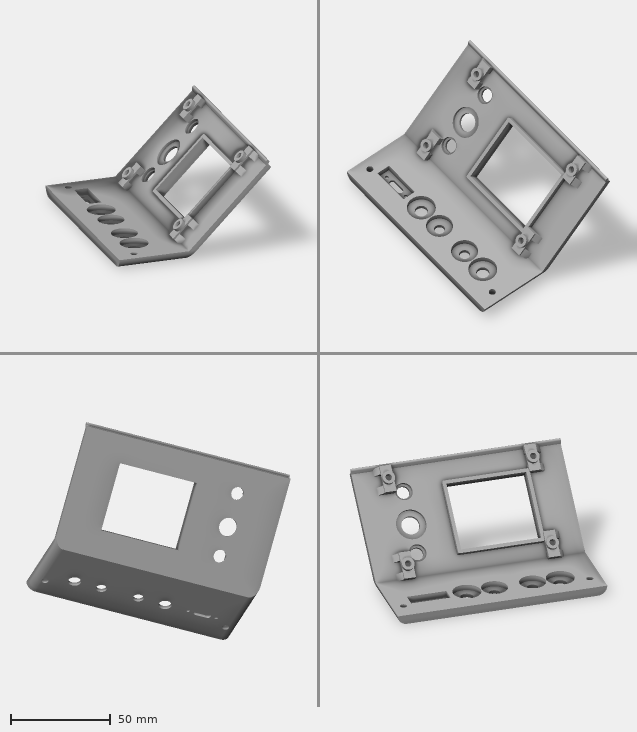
import cadquery as cq
import math

WIDTH = 110.0
DEPTH = 80.8
BASE_THICKNESS = 5.0
PANEL_THICKNESS = 3.0
EDGE_RADIUS = BASE_THICKNESS
OVERLAP = 1.1

DIAGONAL = math.sqrt(0.5)
BASE_BOTTOM_DEPTH = 36.3
PANEL_TIP_HEIGHT = DEPTH - BASE_BOTTOM_DEPTH
PANEL_OFFSET = PANEL_THICKNESS * DIAGONAL
INNER_TIP_Y = DEPTH - PANEL_OFFSET
INNER_TIP_Z = PANEL_TIP_HEIGHT + PANEL_OFFSET

BEAD_RADIUS = 0.9
BEAD_Y = 78.9
BEAD_Z = 47.6
LIP_FRONT_Y = BEAD_Y - BEAD_RADIUS
LIP_THICKNESS = 1.2

MOUNT_SPACING_X = 75.9
MOUNT_SPACING_SLOPE = 46.0
LEG_LENGTH = 4.0
LEG_GAP = 6.0
LEG_HEIGHT = 3.0
BRIDGE_WIDTH = 6.0
BRIDGE_THICKNESS = 1.0
BRIDGE_LENGTH = 2 * LEG_LENGTH + LEG_GAP
COLLAR_DIAMETER = 6.5
COLLAR_HEIGHT = 2.0
MOUNT_HOLE_DIAMETER = 3.3
UPPER_MOUNT_DROP = BRIDGE_LENGTH / 2
LOWER_MOUNT_DROP = UPPER_MOUNT_DROP + MOUNT_SPACING_SLOPE

WINDOW_X = 12.4
WINDOW_DROP = 31.4
WINDOW_WIDTH = 42.0
WINDOW_LENGTH = 35.0
FRAME_WALL = 1.9
FRAME_HEIGHT = 3.0
FRAME_CORNER_RADIUS = 1.0

CONTROL_X = -30.2
KNOB_DROP = WINDOW_DROP
KNOB_RECESS_DIAMETER = 15.6
KNOB_HOLE_DIAMETER = 9.5
BUTTON_DROPS = (13.9, 46.5)
BUTTON_RECESS_DIAMETER = 9.0
BUTTON_HOLE_DIAMETER = 6.6
CONTROL_RECESS_DEPTH = 1.5

SOCKET_ROW_X = 10.5
SOCKET_ROW_Y = 15.0
SOCKET_DEPTH = 3.0
INNER_SOCKET_OFFSET = 10.0
INNER_SOCKET_DIAMETER = 13.5
INNER_SOCKET_HOLE = 5.5
OUTER_SOCKET_OFFSET = 24.5
OUTER_SOCKET_DIAMETER = 14.5
OUTER_SOCKET_HOLE = 6.6

SWITCH_X = -34.1
SWITCH_WIDTH = 20.7
SWITCH_LENGTH = 7.3
SWITCH_DEPTH = 3.5
SWITCH_SLOT_LENGTH = 9.4
SWITCH_SLOT_WIDTH = 3.2
SWITCH_SCREW_SPACING = 15.2
SWITCH_SCREW_DIAMETER = 1.8

FIXING_SPACING = 97.8
FIXING_Y = 9.9
FIXING_DIAMETER = 3.5


def side_extrusion(points):
    """Extrude an outline given in Y and Z over the full width."""
    return cq.Workplane("YZ").polyline(points).close().extrude(WIDTH / 2, both=True)


def panel_plane(x, drop, height=0.0):
    """Workplane parallel to the inner panel face, its local Y pointing up the slope."""
    tip = cq.Plane((0, INNER_TIP_Y, INNER_TIP_Z), (1, 0, 0), (0, -1, 1))
    return cq.Workplane(tip).workplane(offset=height).center(x, -drop)


def base_top(x, y):
    return cq.Workplane("XY", origin=(x, y, BASE_THICKNESS))


def stepped_hole(plane, recess_diameter, recess_depth, hole_diameter, thickness):
    """Cutter for a round recess with a smaller hole on through the wall."""
    recess = plane.circle(recess_diameter / 2).extrude(-recess_depth)
    hole = plane.circle(hole_diameter / 2).extrude(-(thickness + OVERLAP))
    return recess.union(hole)


def make_shell():
    """Base and leaning panel in one piece, with the lower side edges of the base rounded."""
    inner_foot_y = BASE_BOTTOM_DEPTH + BASE_THICKNESS - PANEL_THICKNESS / DIAGONAL
    shell = side_extrusion([
        (0, 0),
        (BASE_BOTTOM_DEPTH, 0),
        (DEPTH, PANEL_TIP_HEIGHT),
        (INNER_TIP_Y, INNER_TIP_Z),
        (inner_foot_y, BASE_THICKNESS),
        (0, BASE_THICKNESS),
    ])
    half_flat = WIDTH / 2 - EDGE_RADIUS
    arc_inset = EDGE_RADIUS * (1 - DIAGONAL)
    rounded_section = (
        cq.Workplane("XZ")
        .moveTo(-half_flat, 0)
        .lineTo(half_flat, 0)
        .threePointArc((WIDTH / 2 - arc_inset, arc_inset), (WIDTH / 2, EDGE_RADIUS))
        .lineTo(WIDTH / 2, INNER_TIP_Z)
        .lineTo(-WIDTH / 2, INNER_TIP_Z)
        .lineTo(-WIDTH / 2, EDGE_RADIUS)
        .threePointArc((arc_inset - WIDTH / 2, arc_inset), (-half_flat, 0))
        .close()
        .extrude(-DEPTH)
    )
    return shell.intersect(rounded_section)


def make_lip():
    rear_y = LIP_FRONT_Y + LIP_THICKNESS
    root_z = INNER_TIP_Z - OVERLAP
    strip = side_extrusion([
        (LIP_FRONT_Y, root_z),
        (rear_y, root_z),
        (rear_y, BEAD_Z),
        (LIP_FRONT_Y, BEAD_Z),
    ])
    bead = (
        cq.Workplane("YZ")
        .center(BEAD_Y, BEAD_Z)
        .circle(BEAD_RADIUS)
        .extrude(WIDTH / 2, both=True)
    )
    return strip.union(bead)


def make_mount(side, drop):
    """Bridge with a collar on two legs whose outer flanks spread at 45 degrees.

    side is -1 for a left mount and 1 for a right mount.
    """
    x = side * MOUNT_SPACING_X / 2
    half_width = BRIDGE_WIDTH / 2
    bridge_top = LEG_HEIGHT + BRIDGE_THICKNESS
    section_plane = cq.Plane((x, INNER_TIP_Y, INNER_TIP_Z), (1, 0, 0), (0, -1, -1))
    body = (
        cq.Workplane(section_plane)
        .workplane(offset=drop - BRIDGE_LENGTH / 2)
        .polyline([
            (-side * half_width, 0),
            (side * (half_width + LEG_HEIGHT), 0),
            (side * half_width, LEG_HEIGHT),
            (side * half_width, bridge_top),
            (-side * half_width, bridge_top),
        ])
        .close()
        .extrude(BRIDGE_LENGTH)
    )
    gap = panel_plane(x, drop).rect(2 * (half_width + LEG_HEIGHT), LEG_GAP).extrude(LEG_HEIGHT)
    collar = panel_plane(x, drop, bridge_top).circle(COLLAR_DIAMETER / 2).extrude(COLLAR_HEIGHT)
    hole = (
        panel_plane(x, drop, LEG_HEIGHT)
        .circle(MOUNT_HOLE_DIAMETER / 2)
        .extrude(BRIDGE_THICKNESS + COLLAR_HEIGHT)
    )
    return body.cut(gap).union(collar).cut(hole)


def make_frame():
    return (
        panel_plane(WINDOW_X, WINDOW_DROP)
        .sketch()
        .rect(WINDOW_WIDTH + 2 * FRAME_WALL, WINDOW_LENGTH + 2 * FRAME_WALL)
        .vertices()
        .fillet(FRAME_CORNER_RADIUS)
        .finalize()
        .extrude(FRAME_HEIGHT)
    )


def window_cutter():
    return (
        panel_plane(WINDOW_X, WINDOW_DROP, FRAME_HEIGHT)
        .rect(WINDOW_WIDTH, WINDOW_LENGTH)
        .extrude(-(FRAME_HEIGHT + PANEL_THICKNESS + OVERLAP))
    )


def control_hole(drop, recess_diameter, hole_diameter):
    plane = panel_plane(CONTROL_X, drop)
    return stepped_hole(plane, recess_diameter, CONTROL_RECESS_DEPTH, hole_diameter, PANEL_THICKNESS)


def socket_hole(offset, recess_diameter, hole_diameter):
    plane = base_top(SOCKET_ROW_X + offset, SOCKET_ROW_Y)
    return stepped_hole(plane, recess_diameter, SOCKET_DEPTH, hole_diameter, BASE_THICKNESS)


def switch_cutter():
    plane = base_top(SWITCH_X, SOCKET_ROW_Y)
    through = -(BASE_THICKNESS + OVERLAP)
    pocket = plane.rect(SWITCH_WIDTH, SWITCH_LENGTH).extrude(-SWITCH_DEPTH)
    slot = plane.slot2D(SWITCH_SLOT_LENGTH, SWITCH_SLOT_WIDTH).extrude(through)
    half_spacing = SWITCH_SCREW_SPACING / 2
    screws = (
        plane.pushPoints([(-half_spacing, 0), (half_spacing, 0)])
        .circle(SWITCH_SCREW_DIAMETER / 2)
        .extrude(through)
    )
    return pocket.union(slot).union(screws)


def fixing_cutter(side):
    plane = base_top(side * FIXING_SPACING / 2, FIXING_Y)
    return plane.circle(FIXING_DIAMETER / 2).extrude(-(BASE_THICKNESS + OVERLAP))


result = make_shell().union(make_lip()).union(make_frame())
result = result.cut(window_cutter())
result = result.cut(control_hole(KNOB_DROP, KNOB_RECESS_DIAMETER, KNOB_HOLE_DIAMETER))
for button_drop in BUTTON_DROPS:
    result = result.cut(control_hole(button_drop, BUTTON_RECESS_DIAMETER, BUTTON_HOLE_DIAMETER))

for side in (-1, 1):
    for mount_drop in (UPPER_MOUNT_DROP, LOWER_MOUNT_DROP):
        result = result.union(make_mount(side, mount_drop))
    result = result.cut(socket_hole(side * INNER_SOCKET_OFFSET, INNER_SOCKET_DIAMETER, INNER_SOCKET_HOLE))
    result = result.cut(socket_hole(side * OUTER_SOCKET_OFFSET, OUTER_SOCKET_DIAMETER, OUTER_SOCKET_HOLE))
    result = result.cut(fixing_cutter(side))
result = result.cut(switch_cutter())